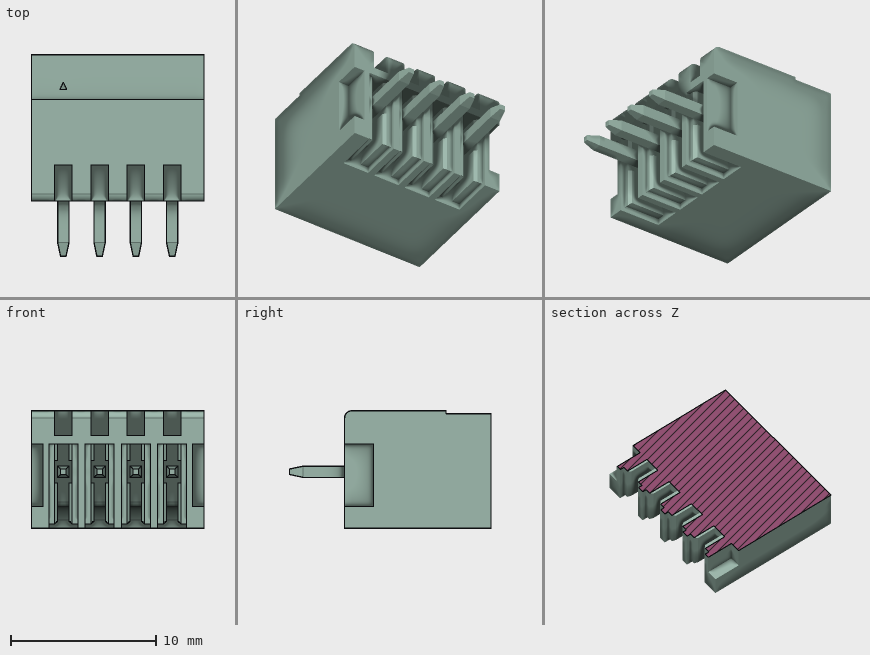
import cadquery as cq
import math

width = 11.9
height = 8.1
total_length = 13.9
pin_reach = 3.8
body_length = total_length - pin_reach
front_edge_radius = 0.5
rear_step_length = 3.1
rear_step_drop = 0.21

pitch = 2.5
contact_count = 4
contact_x = [(i - (contact_count - 1) / 2) * pitch for i in range(contact_count)]
first_contact_x = contact_x[0]
pin_z = 3.89

top_notch_width = 1.2
top_notch_length = 2.5
top_notch_depth = 1.7
side_pocket_width = 0.8
side_pocket_length = 2.02
side_pocket_bottom = 1.49

channel_top = 5.8
channel_width = 2.0
shelf_depth = 0.3
shelf_bottom = 0.3
groove_mouth_width = 1.2
groove_width = 0.79
groove_taper_depth = (groove_mouth_width - groove_width) / 2
taper_end_depth = shelf_depth + groove_taper_depth
groove_floor_depth = 2.0
shelf_chamfer_rise = 0.17
pin_clearance_height = 1.57

step_bottom = 0.55
step_concave_radius = 0.93
step_convex_radius = 0.3
step_middle = step_bottom + step_concave_radius
step_top = step_middle + step_convex_radius
step_middle_depth = groove_floor_depth + step_convex_radius
deep_floor_depth = step_middle_depth + step_concave_radius

pin_thickness = 0.79
pin_tip_thickness = 0.39
pin_tip_length = 0.95

marker_width = 0.47
marker_length = 0.5
marker_depth = 0.1
marker_base_y = 7.7


def box(x_center, x_size, y_start, y_end, z_start, z_end):
    """Block centred on x_center and spanning the given y and z ranges."""
    return (
        cq.Workplane("XY")
        .box(x_size, y_end - y_start, z_end - z_start, centered=(True, False, False))
        .translate((x_center, y_start, z_start))
    )


def extrude_across(profile, x_center, x_size):
    """Extrude a YZ profile symmetrically about x_center."""
    return profile.extrude(x_size / 2, both=True).translate((x_center, 0, 0))


def housing_block():
    block = box(0, width, 0, body_length, 0, height)
    block = block.edges("<Y and >Z").fillet(front_edge_radius)
    step_start = body_length - rear_step_length
    return block.cut(box(0, width, step_start, body_length, height - rear_step_drop, height))


def top_notch(x):
    return box(x, top_notch_width, 0, top_notch_length, height - top_notch_depth, height)


def side_pocket(side):
    x = side * (width - side_pocket_width) / 2
    return box(x, side_pocket_width, 0, side_pocket_length, side_pocket_bottom, channel_top)


def groove_with_rounded_step(x):
    """Narrow groove whose floor steps deeper near the bottom through an S-curve."""
    diagonal = math.sqrt(0.5)
    profile = (
        cq.Workplane("YZ")
        .moveTo(0, channel_top)
        .lineTo(groove_floor_depth, channel_top)
        .lineTo(groove_floor_depth, step_top)
        .threePointArc(
            (
                step_middle_depth - step_convex_radius * diagonal,
                step_top - step_convex_radius * diagonal,
            ),
            (step_middle_depth, step_middle),
        )
        .threePointArc(
            (
                step_middle_depth + step_concave_radius * diagonal,
                step_bottom + step_concave_radius * diagonal,
            ),
            (deep_floor_depth, step_bottom),
        )
        .lineTo(deep_floor_depth, 0)
        .lineTo(0, 0)
        .close()
    )
    return extrude_across(profile, x, groove_width)


def groove_mouth(x):
    """Tapered entry from the wide mouth to the narrow groove."""
    half_mouth = groove_mouth_width / 2
    half_groove = groove_width / 2
    return (
        cq.Workplane("XY")
        .polyline(
            [
                (x - half_mouth, shelf_depth),
                (x + half_mouth, shelf_depth),
                (x + half_groove, taper_end_depth),
                (x - half_groove, taper_end_depth),
            ]
        )
        .close()
        .extrude(channel_top)
    )


def bottom_relief(x):
    """Opening under the shelves, with a chamfered lead-in edge."""
    relief_top = shelf_bottom + shelf_chamfer_rise
    profile = (
        cq.Workplane("YZ")
        .polyline(
            [
                (0, 0),
                (0, shelf_bottom),
                (shelf_depth, shelf_bottom),
                (taper_end_depth, relief_top),
                (deep_floor_depth, relief_top),
                (deep_floor_depth, 0),
            ]
        )
        .close()
    )
    return extrude_across(profile, x, channel_width)


def contact_channel(x):
    front_slot = box(x, channel_width, 0, shelf_depth, 0, channel_top)
    half_clearance = pin_clearance_height / 2
    pin_clearance = box(
        x, groove_mouth_width, 0, groove_floor_depth, pin_z - half_clearance, pin_z + half_clearance
    )
    return (
        front_slot.union(groove_with_rounded_step(x))
        .union(groove_mouth(x))
        .union(pin_clearance)
        .union(bottom_relief(x))
    )


def pin(x):
    """Square pin with a pyramidal tip, rooted in the housing."""
    half = pin_thickness / 2
    tip_start = pin_reach - pin_tip_length
    shaft = box(x, pin_thickness, -tip_start, deep_floor_depth, pin_z - half, pin_z + half)
    tip = (
        cq.Workplane("XZ", origin=(x, -tip_start, pin_z))
        .rect(pin_thickness, pin_thickness)
        .workplane(offset=pin_tip_length)
        .rect(pin_tip_thickness, pin_tip_thickness)
        .loft()
    )
    return shaft.union(tip)


def pin_1_marker():
    """Shallow triangular recess pointing away from the pins."""
    half = marker_width / 2
    return (
        cq.Workplane("XY", origin=(first_contact_x, marker_base_y, height - rear_step_drop))
        .polyline([(-half, 0), (half, 0), (0, marker_length)])
        .close()
        .extrude(-marker_depth)
    )


result = housing_block().cut(pin_1_marker())
for side in (-1, 1):
    result = result.cut(side_pocket(side))
for x in contact_x:
    result = result.cut(top_notch(x)).cut(contact_channel(x))
for x in contact_x:
    result = result.union(pin(x))